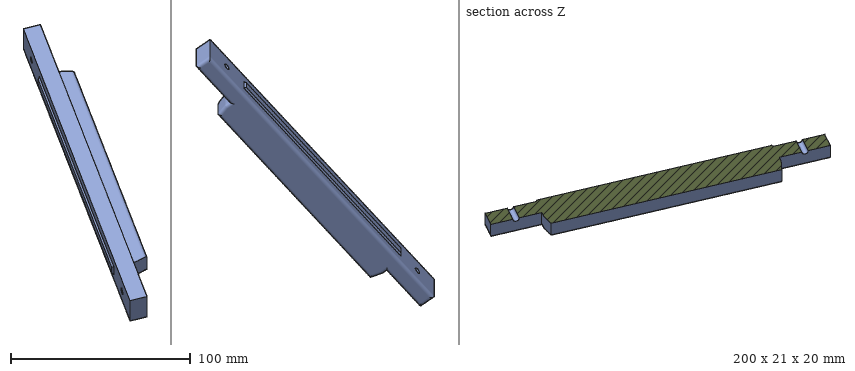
import cadquery as cq

bar_length = 200
bar_depth = 10
bar_height = 20
edge_radius = 2

block_length = 140
block_depth = 10
block_height = 13.5
straight_depth = 3.0
end_taper = 2

strip_length = 140
strip_height = 7.0
strip_thickness = 1.0

hole_diameter = 3.5
hole_spacing = 170


def make_bar():
    """Bar with its front face on Y = 0 and its underside on Z = 0."""
    return cq.Workplane("XY").box(bar_length, bar_depth, bar_height, centered=(True, False, False))


def make_rear_block():
    """Block with short straight ends that then taper to the rear."""
    half = block_length / 2
    rear_half = half - end_taper
    taper_start = bar_depth + straight_depth
    rear = bar_depth + block_depth
    outline = [
        (-half, bar_depth),
        (half, bar_depth),
        (half, taper_start),
        (rear_half, rear),
        (-rear_half, rear),
        (-half, taper_start),
    ]
    block = cq.Workplane("XY").polyline(outline).close().extrude(block_height)
    return block.edges(">Y and >Z").fillet(edge_radius)


def make_front_strip():
    """Strip whose four sides slope at 45 degrees to its front face."""
    slope = 2 * strip_thickness
    return (
        cq.Workplane("XZ", origin=(0, 0, bar_height / 2))
        .rect(strip_length, strip_height)
        .workplane(offset=strip_thickness)
        .rect(strip_length - slope, strip_height - slope)
        .loft(ruled=True)
    )


def make_holes():
    """Cutters for the two holes through the bar."""
    return (
        cq.Workplane("XZ", origin=(0, 0, bar_height / 2))
        .pushPoints([(-hole_spacing / 2, 0), (hole_spacing / 2, 0)])
        .circle(hole_diameter / 2)
        .extrude(-bar_depth)
    )


body = make_bar().union(make_rear_block())
body = body.faces("<Z").edges().fillet(edge_radius)
result = body.union(make_front_strip()).cut(make_holes())